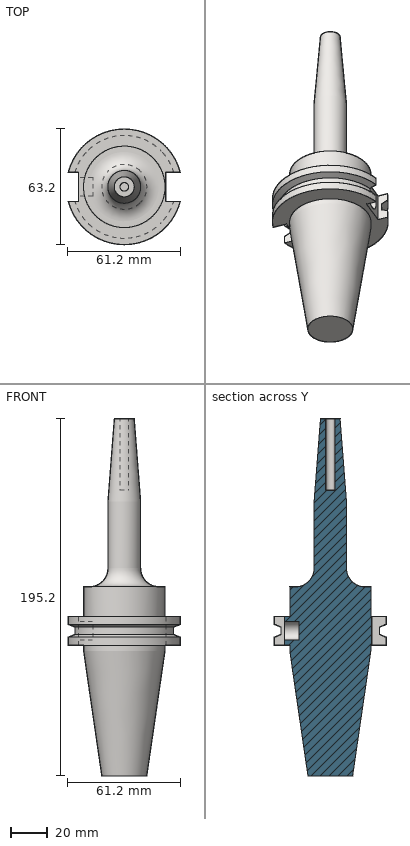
import cadquery as cq

total_height = 195.2
gauge_height = 68.3
flange_bottom = 71.5
flange_top = 87.3
collar_top = 103.5
nose_cone_base = 150.0

taper_end_radius = 12.3
collar_radius = 22.3
flange_radius = 31.6
neck_radius = 9.0
nose_tip_radius = 5.5
neck_fillet = 10.0

groove_root_radius = 28.1
groove_center = (flange_bottom + flange_top) / 2
groove_mouth_half = 3.5
groove_root_half = 2.0

slot_width = 15.8
deep_floor = 22.6
shallow_floor = 25.0
dimple_diameter = 10.0
dimple_depth = 7.8
bore_diameter = 4.7
bore_depth = 39.0


def make_body():
    """Revolve the taper, flange, collar, neck and nose about Z."""
    fillet_top = collar_top + neck_fillet
    profile = (
        cq.Workplane("XZ")
        .lineTo(taper_end_radius, 0)
        .lineTo(collar_radius, gauge_height)
        .lineTo(collar_radius, flange_bottom)
        .lineTo(flange_radius, flange_bottom)
        .lineTo(flange_radius, groove_center - groove_mouth_half)
        .lineTo(groove_root_radius, groove_center - groove_root_half)
        .lineTo(groove_root_radius, groove_center + groove_root_half)
        .lineTo(flange_radius, groove_center + groove_mouth_half)
        .lineTo(flange_radius, flange_top)
        .lineTo(collar_radius, flange_top)
        .lineTo(collar_radius, collar_top)
        .lineTo(neck_radius + neck_fillet, collar_top)
        .radiusArc((neck_radius, fillet_top), neck_fillet)
        .lineTo(neck_radius, nose_cone_base)
        .lineTo(nose_tip_radius, total_height)
        .lineTo(0, total_height)
        .close()
    )
    return profile.revolve(360, (0, 0, 0), (0, 1, 0))


def drive_slot(side, floor):
    """Block that cuts a flange slot; side is +1 for +X and -1 for -X."""
    slot_length = flange_radius
    return (
        cq.Workplane("XY", origin=(side * (floor + slot_length / 2), 0, flange_bottom))
        .box(slot_length, slot_width, flange_top - flange_bottom, centered=(True, True, False))
    )


def slot_dimple():
    """Blind round hole in the floor of the -X slot."""
    return (
        cq.Workplane("YZ", origin=(-shallow_floor, 0, groove_center))
        .circle(dimple_diameter / 2)
        .extrude(dimple_depth)
    )


def tool_bore():
    """Blind tool bore down from the nose tip."""
    return (
        cq.Workplane("XY", origin=(0, 0, total_height))
        .circle(bore_diameter / 2)
        .extrude(-bore_depth)
    )


result = (
    make_body()
    .cut(drive_slot(1, deep_floor))
    .cut(drive_slot(-1, shallow_floor))
    .cut(slot_dimple())
    .cut(tool_bore())
)